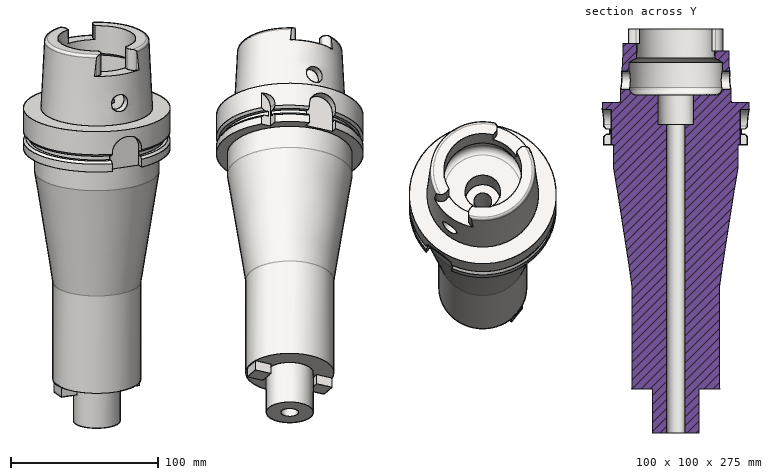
import cadquery as cq
import math


shank_length = 50.0
shank_base_radius = 38.0
shank_taper = 0.05
shank_rim_fillet = 2.0
shank_top_radius = shank_base_radius - shank_taper * shank_length

mouth_radius = 26.5
mouth_depth = 20.0
undercut_radius = 31.5
undercut_angle = 60.0
bore_floor_height = 5.0
bore_floor_fillet = 5.0
tube_socket_radius = 12.0
tube_socket_depth = 20.0
coolant_hole_radius = 6.0

key_slot_width = 20.0
key_slot_corner_radius = 5.0
key_slot_end = 32.2
key_slot_depth_left = 10.0
key_slot_depth_right = 15.0
cross_hole_diameter = 12.0
cross_hole_height = 15.0

flange_radius = 50.0
flange_thickness = 29.0
groove_centre_depth = 20.0
groove_floor_radius = 46.0
groove_floor_width = 3.4
groove_mouth_width = 6.8
groove_chamfer_radius = 48.3
left_pocket_width = 20.0
right_pocket_width = 22.0
pocket_top_depth = 5.0
drive_pocket_floor = 44.0
index_notch_floor = 32.3
index_notch_y = 41.3
index_notch_width = 20.0

neck_radius = 42.5
neck_end_depth = 45.0
body_radius = 30.0
cone_end_depth = 125.0
body_end_depth = 195.0
pilot_radius = 16.0
pilot_end_depth = 225.0

tenon_width = 12.0
tenon_height = 7.0
tenon_inner = 17.5
tenon_outer = 29.3


def revolve_about_axis(outline):
    """Full revolution about Z of a closed outline given as (radius, height) points."""
    return cq.Workplane("YZ").polyline(outline).close().revolve(360, (0, 0, 0), (0, 1, 0))


def make_turned_body():
    """Revolve the outer outline: shank, grooved flange, neck, cone, body and pilot."""
    half_floor = groove_floor_width / 2
    half_mouth = groove_mouth_width / 2
    outline = [
        (0, shank_length),
        (shank_top_radius, shank_length),
        (shank_base_radius, 0),
        (flange_radius, 0),
        (flange_radius, half_mouth - groove_centre_depth),
        (groove_chamfer_radius, half_floor - groove_centre_depth),
        (groove_floor_radius, half_floor - groove_centre_depth),
        (groove_floor_radius, -half_floor - groove_centre_depth),
        (groove_chamfer_radius, -half_floor - groove_centre_depth),
        (flange_radius, -half_mouth - groove_centre_depth),
        (flange_radius, -flange_thickness),
        (neck_radius, -flange_thickness),
        (neck_radius, -neck_end_depth),
        (body_radius, -cone_end_depth),
        (body_radius, -body_end_depth),
        (pilot_radius, -body_end_depth),
        (pilot_radius, -pilot_end_depth),
        (0, -pilot_end_depth),
    ]
    turned = revolve_about_axis(outline)
    return turned.faces(">Z").edges().fillet(shank_rim_fillet)


def make_bore():
    """Revolve the stepped cavity: mouth, undercut, tube socket and through coolant hole."""
    shoulder_top = shank_length - mouth_depth
    shoulder_height = (undercut_radius - mouth_radius) / math.tan(math.radians(undercut_angle))
    socket_floor = bore_floor_height - tube_socket_depth
    upper_bore = [
        (0, shank_length),
        (mouth_radius, shank_length),
        (mouth_radius, shoulder_top),
        (undercut_radius, shoulder_top - shoulder_height),
        (undercut_radius, bore_floor_height),
        (0, bore_floor_height),
    ]
    lower_bore = [
        (0, bore_floor_height),
        (tube_socket_radius, bore_floor_height),
        (tube_socket_radius, socket_floor),
        (coolant_hole_radius, socket_floor),
        (coolant_hole_radius, -pilot_end_depth),
        (0, -pilot_end_depth),
    ]
    rounded_bore = revolve_about_axis(upper_bore).faces("<Z").edges().fillet(bore_floor_fillet)
    return rounded_bore.union(revolve_about_axis(lower_bore))


def make_key_slot(side, depth):
    """Slot through the shank rim on the given X side, flaring out with rounded corners."""
    half_width = key_slot_width / 2
    flare_start = key_slot_end - key_slot_corner_radius
    flare_half_width = half_width + key_slot_corner_radius
    arc_offset = key_slot_corner_radius * math.sqrt(0.5)
    arc_mid_x = flare_start + arc_offset
    arc_mid_y = flare_half_width - arc_offset
    plan = (
        cq.Workplane("XY", origin=(0, 0, shank_length - depth))
        .moveTo(0, -half_width)
        .lineTo(side * flare_start, -half_width)
        .threePointArc((side * arc_mid_x, -arc_mid_y), (side * key_slot_end, -flare_half_width))
        .lineTo(side * key_slot_end, -shank_base_radius)
        .lineTo(side * shank_base_radius, -shank_base_radius)
        .lineTo(side * shank_base_radius, shank_base_radius)
        .lineTo(side * key_slot_end, shank_base_radius)
        .lineTo(side * key_slot_end, flare_half_width)
        .threePointArc((side * arc_mid_x, arc_mid_y), (side * flare_start, half_width))
        .lineTo(0, half_width)
        .close()
    )
    return plan.extrude(depth)


def make_flange_pocket(side, centre_y, floor_distance, width):
    """Round-topped pocket cut along X into the flange rim and open at its lower face."""
    radius = width / 2
    arch_centre = -pocket_top_depth - radius
    plan = (
        cq.Workplane("YZ", origin=(side * floor_distance, 0, 0))
        .moveTo(centre_y - radius, -flange_thickness)
        .lineTo(centre_y - radius, arch_centre)
        .threePointArc((centre_y, -pocket_top_depth), (centre_y + radius, arch_centre))
        .lineTo(centre_y + radius, -flange_thickness)
        .close()
    )
    return plan.extrude(side * (flange_radius - floor_distance))


def make_cross_hole():
    """Round hole along X through both walls of the shank."""
    hole = cq.Workplane("YZ", origin=(0, 0, cross_hole_height)).circle(cross_hole_diameter / 2)
    return hole.extrude(shank_base_radius, both=True)


def make_tenon(side):
    """Rectangular drive tenon under the body on the given Y side."""
    centre_y = side * (tenon_inner + tenon_outer) / 2
    plan = cq.Workplane("XY", origin=(0, centre_y, -body_end_depth))
    return plan.rect(tenon_width, tenon_outer - tenon_inner).extrude(-tenon_height)


result = make_turned_body().cut(make_bore())
result = result.cut(make_key_slot(-1, key_slot_depth_left))
result = result.cut(make_key_slot(1, key_slot_depth_right))
result = result.cut(make_cross_hole())
result = result.cut(make_flange_pocket(-1, 0, drive_pocket_floor, left_pocket_width))
result = result.cut(make_flange_pocket(1, 0, drive_pocket_floor, right_pocket_width))
result = result.cut(make_flange_pocket(-1, index_notch_y, index_notch_floor, index_notch_width))
for y_side in (-1, 1):
    result = result.union(make_tenon(y_side))